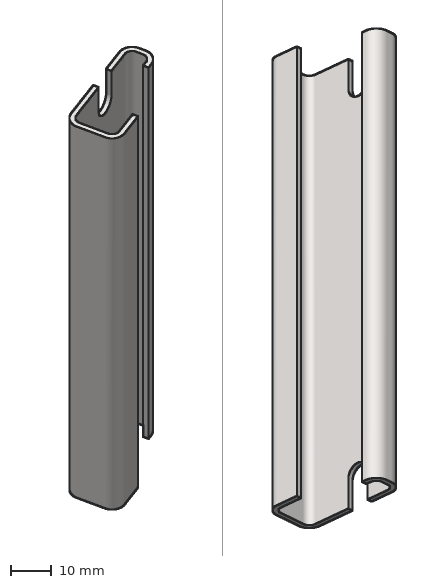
import cadquery as cq

length = 126.0
depth = 15.0
width = 32.0
sheet = 1.5
outer_bend = 3.5
inner_bend = outer_bend - sheet

short_flange = 9.0
short_lip = 5.0
long_lip = 10.5

slot_width = 6.5
slot_depth = 11.6
slot_from_short_side = 13.7


def make_channel():
    """Extrude the bent sheet section along Z and round its bends."""
    web_x = -depth / 2
    long_lip_x = depth / 2
    short_lip_x = web_x + short_flange
    top_y = width / 2
    bottom_y = -width / 2
    outer_path = [
        (short_lip_x, top_y - short_lip),
        (short_lip_x, top_y),
        (web_x, top_y),
        (web_x, bottom_y),
        (long_lip_x, bottom_y),
        (long_lip_x, bottom_y + long_lip),
    ]
    inner_path = [
        (long_lip_x - sheet, bottom_y + long_lip),
        (long_lip_x - sheet, bottom_y + sheet),
        (web_x + sheet, bottom_y + sheet),
        (web_x + sheet, top_y - sheet),
        (short_lip_x - sheet, top_y - sheet),
        (short_lip_x - sheet, top_y - short_lip),
    ]
    section = cq.Workplane("XY").workplane(offset=-length / 2)
    channel = section.polyline(outer_path + inner_path).close().extrude(length)

    for bends, radius in ((outer_path[1:-1], outer_bend), (inner_path[1:-1], inner_bend)):
        for x, y in bends:
            corner = cq.selectors.NearestToPointSelector((x, y, 0))
            channel = channel.edges("|Z").edges(corner).fillet(radius)
    return channel


def make_slot(end):
    """Cutter for one round-bottomed slot; end is +1 at the top, -1 at the bottom."""
    radius = slot_width / 2
    center_y = width / 2 - slot_from_short_side
    end_z = end * length / 2
    arc_z = end_z - end * (slot_depth - radius)
    return (
        cq.Workplane("YZ", origin=(-depth / 2, 0, 0))
        .moveTo(center_y - radius, end_z)
        .lineTo(center_y - radius, arc_z)
        .threePointArc((center_y, end_z - end * slot_depth), (center_y + radius, arc_z))
        .lineTo(center_y + radius, end_z)
        .close()
        .extrude(sheet)
    )


result = make_channel()
for end in (1, -1):
    result = result.cut(make_slot(end))